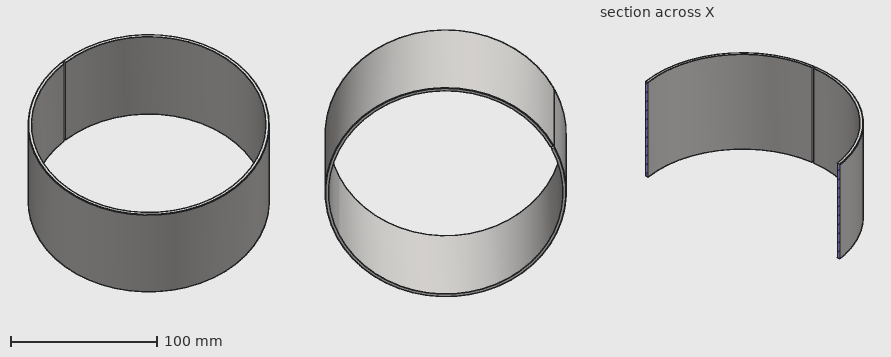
import cadquery as cq

outer_diameter = 165.0
wall_thickness = 2.5
height = 80.0
outer_chamfer = 0.5
inner_chamfer = 0.2
slit_angle = 1.0

outer_radius = outer_diameter / 2
inner_radius = outer_radius - wall_thickness


def chamfered_cylinder(radius, chamfer):
    """Solid cylinder standing on Z = 0; a negative chamfer flares its rims outward."""
    half_profile = [
        (0, 0),
        (radius - chamfer, 0),
        (radius, abs(chamfer)),
        (radius, height - abs(chamfer)),
        (radius - chamfer, height),
        (0, height),
    ]
    return cq.Workplane("XZ").polyline(half_profile).close().revolve(360, (0, 0), (0, 1))


def make_ring():
    """Tube with all four rims chamfered."""
    body = chamfered_cylinder(outer_radius, outer_chamfer)
    bore = chamfered_cylinder(inner_radius, -inner_chamfer)
    return body.cut(bore)


def make_slit():
    """Radial wedge from the Y = 0 plane on the -X side, opening towards +Y."""
    wedge_reach = outer_radius + wall_thickness
    section = cq.Workplane("XZ").moveTo(-wedge_reach, 0).lineTo(0, 0).lineTo(0, height)
    section = section.lineTo(-wedge_reach, height).close()
    return section.revolve(slit_angle, (0, 0), (0, -1))


result = make_ring().cut(make_slit())